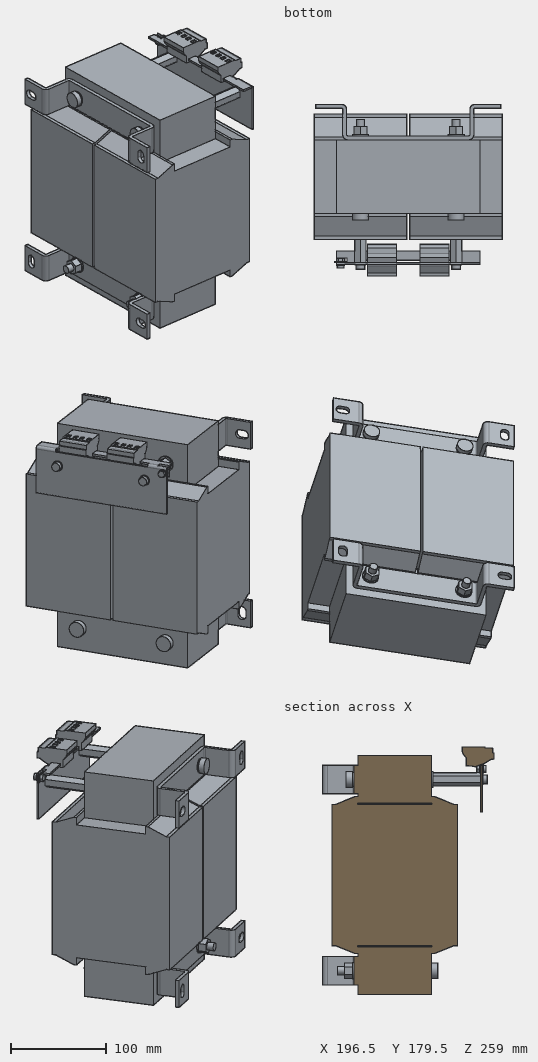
import cadquery as cq
import math


core_width = 150.0
core_depth = 77.2
core_height = 250.0
yoke_width = core_width / 3
front_face = -core_depth / 2
back_face = core_depth / 2
core_top = core_height / 2

coils_width = 196.5
coil_gap = 2.8
coil_depth = 131.3
coil_side_height = 148.0
coil_flange_height = 164.5
coil_outer_land = 4.0
coil_inner_land = 2.8

bracket_span = 193.7
bracket_reach = 37.0
bracket_height = 30.0
bracket_thickness = 4.1
leg_spacing = 137.0
bend_inner_radius = 1.0
bend_outer_radius = bend_inner_radius + bracket_thickness
slot_length = 14.5
slot_width = 9.3
slot_x = 86.8

bolt_x = core_width / 3
bolt_z = core_top - yoke_width / 2
bolt_head_diameter = 16.5
bolt_head_height = 6.5
washer_diameter = 14.5
washer_thickness = 1.5
nut_washer_diameter = 17.0
nut_corner_diameter = 16.0
nut_height = 8.0
stud_diameter = 8.5
stud_projection = 7.3

standoff_flats = 12.2
standoff_corners = standoff_flats / math.cos(math.pi / 6)
standoff_washer_diameter = 16.5
board_screw_diameter = 9.3
board_screw_height = 4.5
board_washer_diameter = 11.0
board_washer_thickness = 0.8

board_offset = 51.0
board_thickness = 2.0
board_width = core_width
board_top = core_top - 7.0
board_height = 52.3
board_bend_radius = 3.0
board_flange_depth = 14.2
board_front = back_face + board_offset
board_back = board_front + board_thickness
relief_width = 105.7
relief_depth = 2.0
earth_notch_width = 11.0
earth_notch_depth = 4.7

earth_x = -70.7
earth_z = core_top - 14.0
earth_head_diameter = 7.3
earth_head_height = 2.8
earth_washer_diameter = 8.3
earth_washer_thickness = 1.0
earth_plate_width = 12.5
earth_plate_height = 8.3
earth_plate_thickness = 1.0
earth_nut_corners = 8.8
earth_nut_height = 3.0

block_group_width = 30.5
block_group_x = 27.5
terminal_pitch = block_group_width / 2
wire_slot_width = 3.5
wire_slot_length = 5.2
wire_slot_depth = 1.0
wire_slot_start = 46.5
wire_slot_spacing = 8.0
block_outline = [
    (31.9, 9.0), (31.9, 4.0), (33.0, 1.3), (36.0, -2.5), (36.0, -11.0), (41.7, -11.1),
    (45.5, -12.0), (55.0, -8.5), (62.2, -4.1), (65.3, -4.0), (65.3, 2.5), (64.0, 2.8),
    (64.0, 7.5), (62.0, 8.0), (56.0, 8.0), (55.5, 9.0),
]


def box(x_min, x_max, y_min, y_max, z_min, z_max):
    size = (x_max - x_min, y_max - y_min, z_max - z_min)
    return cq.Workplane("XY").box(*size, centered=False).translate((x_min, y_min, z_min))


def section_at(x, y, z, toward_back):
    """Upright plane whose extrusions run backward (+Y) or forward (-Y)."""
    direction = 1 if toward_back else -1
    return cq.Workplane(cq.Plane((x, y, z), (1, 0, 0), (0, direction, 0)))


def disc(x, y, z, diameter, length, toward_back):
    return section_at(x, y, z, toward_back).circle(diameter / 2).extrude(length)


def hexagon(x, y, z, corner_diameter, length, toward_back, turn=0):
    prism = section_at(0, 0, 0, toward_back).polygon(6, corner_diameter).extrude(length)
    return prism.rotate((0, 0, 0), (0, 1, 0), turn).translate((x, y, z))


def make_core():
    window_height = core_height - 2 * yoke_width
    core = cq.Workplane("XY").box(core_width, core_depth, core_height)
    return core.cut(cq.Workplane("XY").box(core_width - 2 * yoke_width, core_depth, window_height))


def make_coil(side):
    half_depth = coil_depth / 2
    side_z = coil_side_height / 2
    flange_z = coil_flange_height / 2
    back_half = [
        (half_depth, side_z),
        (half_depth - coil_outer_land, side_z),
        (back_face + coil_inner_land, flange_z),
        (back_face, flange_z),
        (back_face, side_z),
    ]
    upper_edge = back_half + [(-y, z) for y, z in reversed(back_half)]
    lower_edge = [(y, -z) for y, z in reversed(upper_edge)]
    width = (coils_width - coil_gap) / 2
    coil = cq.Workplane("YZ").polyline(upper_edge + lower_edge).close().extrude(width)
    x_start = coil_gap / 2 if side > 0 else -coils_width / 2
    return coil.translate((x_start, 0, 0))


def make_bracket(level):
    """Top-hat strip: level is +1 for the upper yoke and -1 for the lower one."""
    z_mid = level * bolt_z
    leg_outer = leg_spacing / 2
    leg_inner = leg_outer - bracket_thickness
    foot_front = front_face - bracket_reach
    foot_back = foot_front + bracket_thickness
    strip_front = front_face - bracket_thickness
    right_half = [
        (leg_outer, front_face),
        (leg_outer, foot_back),
        (bracket_span / 2, foot_back),
        (bracket_span / 2, foot_front),
        (leg_inner, foot_front),
        (leg_inner, strip_front),
    ]
    left_half = [(-x, y) for x, y in reversed(right_half)]
    bracket = cq.Workplane("XY").polyline(right_half + left_half).close().extrude(bracket_height)

    def bend_edges(corners):
        edges = cq.Workplane("XY")
        for x, y in corners:
            for side in (-1, 1):
                near = cq.selectors.NearestToPointSelector((side * x, y, bracket_height / 2))
                edges = edges.add(bracket.edges("|Z").edges(near))
        return edges.vals()

    outer_edges = bend_edges([(leg_outer, front_face), (leg_inner, foot_front)])
    inner_edges = bend_edges([(leg_outer, foot_back), (leg_inner, strip_front)])
    solid = bracket.val().fillet(bend_outer_radius, outer_edges)
    solid = solid.fillet(bend_inner_radius, inner_edges)
    bracket = cq.Workplane(solid).translate((0, 0, z_mid - bracket_height / 2))

    for side in (-1, 1):
        angle = 0 if side * level < 0 else 90
        slot = section_at(side * slot_x, foot_front, z_mid, True).slot2D(slot_length, slot_width, angle)
        bracket = bracket.cut(slot.extrude(bracket_thickness))
    return bracket


def make_upper_bolt(x):
    """Bolt head on the bracket, with a hexagonal standoff behind the core."""
    strip_front = front_face - bracket_thickness
    head_back = strip_front - washer_thickness
    bolt = disc(x, strip_front, bolt_z, washer_diameter, washer_thickness, False)
    bolt = bolt.union(disc(x, head_back, bolt_z, bolt_head_diameter, bolt_head_height, False))
    bolt = bolt.union(disc(x, back_face, bolt_z, standoff_washer_diameter, washer_thickness, True))
    bolt = bolt.union(hexagon(x, back_face, bolt_z, standoff_corners, board_offset, True, turn=30))
    bolt = bolt.union(disc(x, board_back, bolt_z, board_washer_diameter, board_washer_thickness, True))
    screw_base = board_back + board_washer_thickness
    return bolt.union(disc(x, screw_base, bolt_z, board_screw_diameter, board_screw_height, True))


def make_lower_bolt(x):
    """Bolt head behind the core, with a washer, nut and stud end on the bracket."""
    strip_front = front_face - bracket_thickness
    nut_back = strip_front - washer_thickness
    nut_front = nut_back - nut_height
    bolt = disc(x, back_face, -bolt_z, bolt_head_diameter, bolt_head_height, True)
    bolt = bolt.union(disc(x, strip_front, -bolt_z, nut_washer_diameter, washer_thickness, False))
    bolt = bolt.union(hexagon(x, nut_back, -bolt_z, nut_corner_diameter, nut_height, False, turn=30))
    return bolt.union(disc(x, nut_front, -bolt_z, stud_diameter, stud_projection, False))


def make_board():
    half_width = board_width / 2
    flange_front = board_back - board_flange_depth
    flange_bottom = board_top - board_thickness
    outline = [
        (board_back, board_top - board_height),
        (board_back, board_top),
        (flange_front, board_top),
        (flange_front, flange_bottom),
        (board_front, flange_bottom),
        (board_front, board_top - board_height),
    ]
    board = cq.Workplane("YZ").polyline(outline).close().extrude(half_width, both=True)
    board = board.edges("|X and >Z and >Y").fillet(board_bend_radius)
    fold_start = board_top - board_bend_radius
    relief_front = board_front - relief_depth
    half_relief = relief_width / 2
    board = board.cut(box(-half_relief, half_relief, relief_front, board_back, fold_start, board_top))
    notch_front = board_front - earth_notch_depth
    notch_end = earth_notch_width - half_width
    return board.cut(box(-half_width, notch_end, notch_front, board_front, fold_start, board_top))


def make_earth_screw():
    """Screw head and washer behind the board, with a clamping plate and nut in front."""
    half_width = earth_plate_width / 2
    half_height = earth_plate_height / 2
    washer_back = board_back + earth_washer_thickness
    plate_front = board_front - earth_plate_thickness
    screw = box(
        earth_x - half_width, earth_x + half_width,
        plate_front, board_front,
        earth_z - half_height, earth_z + half_height,
    )
    screw = screw.union(hexagon(earth_x, plate_front, earth_z, earth_nut_corners, earth_nut_height, False))
    washer = disc(earth_x, board_back, earth_z, earth_washer_diameter, earth_washer_thickness, True)
    screw = screw.union(washer)
    return screw.union(disc(earth_x, washer_back, earth_z, earth_head_diameter, earth_head_height, True))


def make_terminal_blocks(side):
    outline = [(back_face + y, core_top + z) for y, z in block_outline]
    blocks = cq.Workplane("YZ").polyline(outline).close().extrude(block_group_width / 2, both=True)
    block_top = max(z for _, z in outline)
    slot_front = back_face + wire_slot_start
    for terminal in (-1, 1):
        for entry in (-1, 1):
            x = terminal * terminal_pitch / 2 + entry * wire_slot_spacing / 2
            blocks = blocks.cut(box(
                x - wire_slot_width / 2, x + wire_slot_width / 2,
                slot_front, slot_front + wire_slot_length,
                block_top - wire_slot_depth, block_top,
            ))
    return blocks.translate((side * block_group_x, 0, 0))


result = make_core().union(make_board()).union(make_earth_screw())
for sign in (-1, 1):
    result = result.union(make_coil(sign))
    result = result.union(make_bracket(sign))
    result = result.union(make_upper_bolt(sign * bolt_x))
    result = result.union(make_lower_bolt(sign * bolt_x))
    result = result.union(make_terminal_blocks(sign))